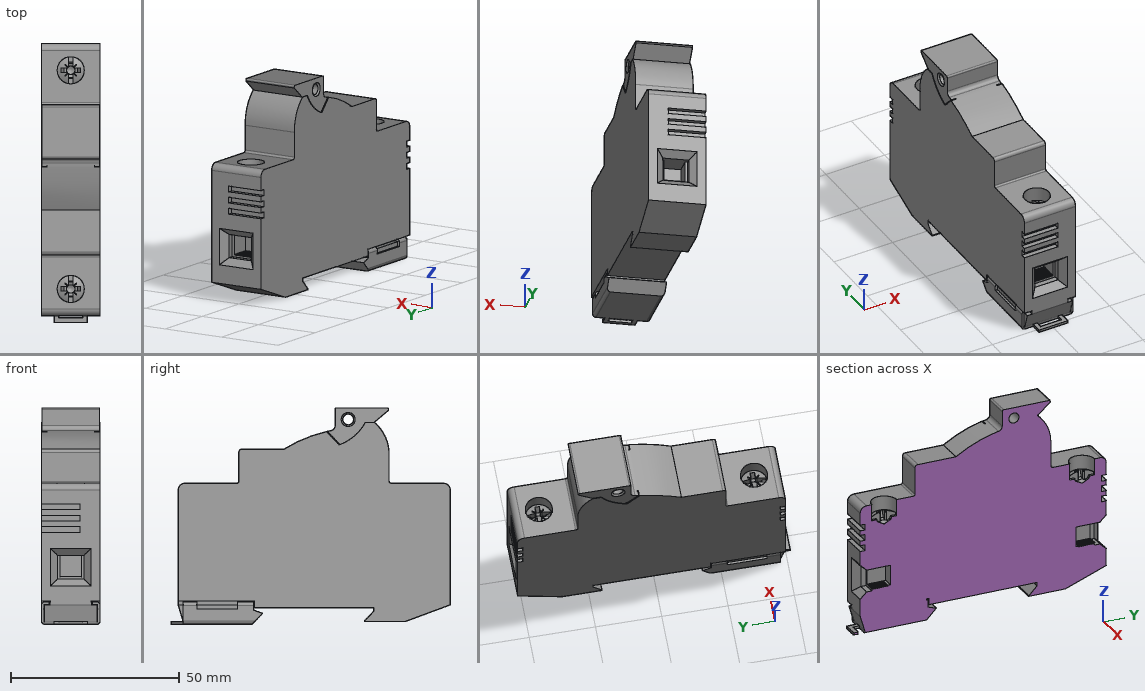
import cadquery as cq


PICK_MARGIN = 0.1

WIDTH = 17.5
HALF_WIDTH = WIDTH / 2
TOTAL_HEIGHT = 64.3
TAB_TIP_Y = -41.45
FRONT_Y = -39.4
BACK_Y = 41.45
MID_Y = (FRONT_Y + BACK_Y) / 2
SHOULDER_Z = 41.95
SHOULDER_RADIUS = 2.1
FOOT_Z = 0.8
RAIL_Z = 4.9
BACK_SLANT_TOP_Z = 5.8
BACK_SLANT_Y = 28.0
HOOK_TIP_Y = 16.0
HOOK_ROOT_Y = 18.65
HOOK_TIP_Z = 1.2
HOOK_ROOT_Z = 3.9
CLIP_SEAT_Y = -16.75
CLIP_SEAT_Z = 7.0

HUMP_BACK_Y = 23.3
HUMP_FRONT_Y = -21.4
HUMP_FLAT_Z = 52.05
HUMP_FLAT_END_Y = -7.95
HUMP_EDGE_RADIUS = 1.0
HUMP_FRONT_FOOT_RADIUS = 0.5
HUMP_BACK_FOOT_RADIUS = 0.7
BACK_CURVE_START_Z = 50.15
BACK_CURVE_MID = (22.0, 56.1)
SLOPE_MID = (-1.0, 55.5)
SLOPE_TOP_Z = 57.8

GRIP_FRONT_Y = 7.2
GRIP_BACK_Y = 23.1
GRIP_NECK_Y = 18.9
GRIP_NECK_Z = 60.0
GRIP_LIP_Z = 63.6
GRIP_INSET = 0.2
GRIP_EDGE_RADIUS = 0.5
GRIP_FOOT_RADIUS = 1.5
CHEEK_TIP = (8.45, 53.3)
CHEEK_MID = (12.8, 55.8)
CHEEK_BACK_Y = 16.25
CHEEK_FRONT = (4.7, 57.2)
CHEEK_GAP = 0.2
CHEEK_GAP_DEPTH = 1.7
SEAL_Y = 11.1
SEAL_Z = 60.8
SEAL_DIAMETER = 3.15
SEAL_CHAMFER = 0.5

GROOVE_COUNT = 3
GROOVE_BOTTOM_Z = 27.3
GROOVE_PITCH = 3.4
GROOVE_HEIGHT = 1.7
GROOVE_LENGTH = 11.4
GROOVE_DEPTH = 1.6

ENTRY_MOUTH = (12.0, 11.1)
ENTRY_THROAT = (7.9, 7.05)
ENTRY_Z = 17.0
ENTRY_BEVEL_DEPTH = 2.15
THROAT_DEPTH = 3.8
CLAMP_WIDTH = 6.4
CLAMP_HEIGHT = 6.3
CLAMP_DEPTH = 9.95
SERRATION_COUNT = 8
SERRATION_PITCH = 0.7
SERRATION_WIDTH = 0.3
SERRATION_DEPTH = 0.25

SCREW_INSET = 7.95
SCREW_DIAMETER = 8.0
SCREW_RIM_DEPTH = 4.6
DOME_HEIGHT = 1.25
DRIVE_WIDTH = 1.3
SLOT_DEPTH = 2.0
DRIVE_TOP_RADIUS = 3.2
DRIVE_STEP_RADIUS = 2.1
DRIVE_CORE_RADIUS = 1.25
DRIVE_STEP_DEPTH = 2.8
DRIVE_DEPTH = 3.2
DRIVE_POINT = 0.7
TICK_LENGTH = 4.8
TICK_WIDTH = 0.2
TICK_DEPTH = 0.7

CLIP_THICKNESS = 0.75
CLIP_BEND_RADIUS = 1.1
CLIP_CLEARANCE = 0.25
CLIP_TOP_Z = CLIP_SEAT_Z - CLIP_CLEARANCE
CLIP_FRONT_Y = -37.9
CLIP_BACK_Y = CLIP_SEAT_Y - CLIP_CLEARANCE
CLIP_HOOK_TIP = (-14.25, 3.3)
CLIP_HOOK_TOP_Z = 4.3
CLIP_HOOK_FOOT_Y = -17.5
CLIP_LIP = 2.3
FLANGE_SLOT_DEPTH = 2.65
CORE_TOP_Z = 5.8
RELIEF_FRONT_Y = -33.8
RELIEF_BACK_Y = -21.8
RELIEF_Z = 4.6
TAB_WIDTH = 9.9
TAB_THICKNESS = 0.8
WINDOW_WIDTH = 7.05
WINDOW_RIM = 1.5


def block(x_range, y_range, z_range):
    """Box spanning the given ranges."""
    size = [high - low for low, high in (x_range, y_range, z_range)]
    corner = (x_range[0], y_range[0], z_range[0])
    return cq.Workplane("XY").box(*size, centered=False).translate(corner)


def across(profile, width):
    """Extrude a closed YZ profile over a width centred on X = 0."""
    return profile.extrude(width / 2, both=True)


def from_sides(profile, depth):
    """Extrude a closed YZ profile inward by a depth from both side faces."""
    middle = cq.Workplane("XY").box(WIDTH - 2 * depth, 2 * BACK_Y, 2 * TOTAL_HEIGHT)
    return across(profile, WIDTH).cut(middle)


def round_corner(solid, y, z, radius):
    """Fillet the X-direction edges that pass through (y, z)."""
    near = cq.selectors.BoxSelector(
        (-WIDTH, y - PICK_MARGIN, z - PICK_MARGIN),
        (WIDTH, y + PICK_MARGIN, z + PICK_MARGIN),
    )
    return solid.edges(near).edges("|X").fillet(radius)


def make_housing():
    outline = (
        cq.Workplane("YZ")
        .moveTo(BACK_Y, SHOULDER_Z)
        .lineTo(HUMP_BACK_Y, SHOULDER_Z)
        .lineTo(HUMP_BACK_Y, BACK_CURVE_START_Z)
        .threePointArc(BACK_CURVE_MID, (GRIP_NECK_Y, GRIP_NECK_Z))
        .lineTo(CHEEK_BACK_Y, GRIP_NECK_Z)
        .lineTo(GRIP_FRONT_Y, SLOPE_TOP_Z)
        .threePointArc(SLOPE_MID, (HUMP_FLAT_END_Y, HUMP_FLAT_Z))
        .lineTo(HUMP_FRONT_Y, HUMP_FLAT_Z)
        .lineTo(HUMP_FRONT_Y, SHOULDER_Z)
        .lineTo(FRONT_Y, SHOULDER_Z)
        .lineTo(FRONT_Y, CLIP_SEAT_Z)
        .lineTo(CLIP_SEAT_Y, CLIP_SEAT_Z)
        .lineTo(CLIP_SEAT_Y, RAIL_Z)
        .lineTo(HOOK_ROOT_Y, RAIL_Z)
        .lineTo(HOOK_ROOT_Y, HOOK_ROOT_Z)
        .lineTo(HOOK_TIP_Y, HOOK_TIP_Z)
        .lineTo(HOOK_TIP_Y, FOOT_Z)
        .lineTo(BACK_SLANT_Y, FOOT_Z)
        .lineTo(BACK_Y, BACK_SLANT_TOP_Z)
        .close()
    )

    housing = across(outline, WIDTH)
    housing = round_corner(housing, BACK_Y, SHOULDER_Z, SHOULDER_RADIUS)
    housing = round_corner(housing, FRONT_Y, SHOULDER_Z, SHOULDER_RADIUS)
    housing = round_corner(housing, HUMP_FRONT_Y, HUMP_FLAT_Z, HUMP_EDGE_RADIUS)
    housing = round_corner(housing, HUMP_FRONT_Y, SHOULDER_Z, HUMP_FRONT_FOOT_RADIUS)
    return round_corner(housing, HUMP_BACK_Y, SHOULDER_Z, HUMP_BACK_FOOT_RADIUS)


def cheek_cuts():
    """Thin side relief over the drawer cheeks and the gap along their front edge."""
    relief = (
        cq.Workplane("YZ")
        .moveTo(*CHEEK_FRONT)
        .lineTo(*CHEEK_TIP)
        .threePointArc(CHEEK_MID, (CHEEK_BACK_Y, GRIP_NECK_Z))
        .lineTo(CHEEK_FRONT[0], GRIP_NECK_Z)
        .close()
    )
    gap = (
        cq.Workplane("YZ")
        .moveTo(*CHEEK_FRONT)
        .lineTo(*CHEEK_TIP)
        .lineTo(CHEEK_TIP[0] + CHEEK_GAP, CHEEK_TIP[1] + CHEEK_GAP)
        .lineTo(CHEEK_FRONT[0] + CHEEK_GAP, CHEEK_FRONT[1] + CHEEK_GAP)
        .close()
    )
    return from_sides(relief, GRIP_INSET).union(from_sides(gap, CHEEK_GAP_DEPTH))


def make_grip():
    outline = (
        cq.Workplane("YZ")
        .moveTo(GRIP_FRONT_Y, TOTAL_HEIGHT)
        .lineTo(GRIP_BACK_Y, TOTAL_HEIGHT)
        .lineTo(GRIP_BACK_Y, GRIP_LIP_Z)
        .lineTo(GRIP_NECK_Y, GRIP_NECK_Z)
        .lineTo(CHEEK_BACK_Y, GRIP_NECK_Z)
        .lineTo(GRIP_FRONT_Y, SLOPE_TOP_Z)
        .close()
    )
    grip = across(outline, WIDTH - 2 * GRIP_INSET)
    return grip.edges("|X and >Z").fillet(GRIP_EDGE_RADIUS)


def seal_hole():
    hole = across(cq.Workplane("YZ").center(SEAL_Y, SEAL_Z).circle(SEAL_DIAMETER / 2), WIDTH)
    for side in (-1, 1):
        cone = (
            cq.Workplane("YZ", origin=(side * (HALF_WIDTH - GRIP_INSET), SEAL_Y, SEAL_Z))
            .circle(SEAL_DIAMETER / 2 + SEAL_CHAMFER)
            .workplane(offset=-side * SEAL_CHAMFER)
            .circle(SEAL_DIAMETER / 2)
            .loft()
        )
        hole = hole.union(cone)
    return hole


def front_grooves():
    grooves = cq.Workplane("XY")
    for index in range(GROOVE_COUNT):
        bottom = GROOVE_BOTTOM_Z + index * GROOVE_PITCH
        grooves = grooves.union(block(
            (-HALF_WIDTH, GROOVE_LENGTH - HALF_WIDTH),
            (FRONT_Y, FRONT_Y + GROOVE_DEPTH),
            (bottom, bottom + GROOVE_HEIGHT),
        ))
    return grooves


def front_wire_entry():
    face = cq.Workplane("XZ", origin=(0, FRONT_Y, ENTRY_Z))
    bevel = face.rect(*ENTRY_MOUTH).workplane(offset=-ENTRY_BEVEL_DEPTH).rect(*ENTRY_THROAT).loft()
    throat = face.rect(*ENTRY_THROAT).extrude(-THROAT_DEPTH)
    throat_top = ENTRY_Z + ENTRY_THROAT[1] / 2
    clamp_x = (-CLAMP_WIDTH / 2, CLAMP_WIDTH / 2)
    clamp_front_y = FRONT_Y + THROAT_DEPTH
    floor_z = throat_top - CLAMP_HEIGHT
    clamp = block(clamp_x, (clamp_front_y, FRONT_Y + CLAMP_DEPTH), (floor_z, throat_top))
    entry = bevel.union(throat).union(clamp)

    for index in range(SERRATION_COUNT):
        back = clamp_front_y + (index + 1) * SERRATION_PITCH
        entry = entry.union(block(
            clamp_x,
            (back - SERRATION_WIDTH, back),
            (floor_z - SERRATION_DEPTH, floor_z),
        ))
    return entry


def screw_pocket():
    """Round well with a domed screw head at its bottom, centred on the Z axis."""
    radius = SCREW_DIAMETER / 2
    rim_z = SHOULDER_Z - SCREW_RIM_DEPTH
    dome_z = rim_z + DOME_HEIGHT
    slot_z = dome_z - SLOT_DEPTH
    dome_radius = (radius ** 2 + DOME_HEIGHT ** 2) / (2 * DOME_HEIGHT)

    well = cq.Workplane("XY", origin=(0, 0, rim_z)).circle(radius).extrude(SCREW_RIM_DEPTH)
    well = well.cut(cq.Workplane("XY", origin=(0, 0, dome_z - dome_radius)).sphere(dome_radius))

    slot = (
        cq.Workplane("XY", origin=(0, 0, slot_z))
        .circle(radius)
        .extrude(SHOULDER_Z - slot_z)
        .intersect(cq.Workplane("XY").box(DRIVE_WIDTH, SCREW_DIAMETER, 2 * SHOULDER_Z))
    )
    drive_z = dome_z - DRIVE_DEPTH
    step_z = dome_z - DRIVE_STEP_DEPTH
    blade = (
        cq.Workplane("XZ")
        .moveTo(-DRIVE_TOP_RADIUS, dome_z)
        .lineTo(-DRIVE_STEP_RADIUS, step_z)
        .lineTo(-DRIVE_CORE_RADIUS, drive_z)
        .lineTo(DRIVE_CORE_RADIUS, drive_z)
        .lineTo(DRIVE_STEP_RADIUS, step_z)
        .lineTo(DRIVE_TOP_RADIUS, dome_z)
        .close()
        .extrude(DRIVE_WIDTH / 2, both=True)
    )
    core = (
        cq.Workplane("XZ")
        .moveTo(0, dome_z)
        .lineTo(DRIVE_CORE_RADIUS, dome_z)
        .lineTo(DRIVE_CORE_RADIUS, drive_z)
        .lineTo(0, drive_z - DRIVE_POINT)
        .close()
        .revolve()
    )
    cross = blade.union(blade.rotate((0, 0, 0), (0, 0, 1), 90))
    tick = cq.Workplane("XY", origin=(0, 0, dome_z)).box(TICK_LENGTH, TICK_WIDTH, 2 * TICK_DEPTH)
    pocket = well.union(slot).union(cross).union(core)
    for angle in (45, 135):
        pocket = pocket.union(tick.rotate((0, 0, 0), (0, 0, 1), angle))
    return pocket


def make_core():
    """T-shaped foot of the housing that carries the rail clip."""
    web_half = HALF_WIDTH - FLANGE_SLOT_DEPTH
    core_half = HALF_WIDTH - CLIP_THICKNESS - CLIP_CLEARANCE
    web = block((-web_half, web_half), (FRONT_Y, CLIP_HOOK_FOOT_Y), (CORE_TOP_Z, CLIP_SEAT_Z))
    foot = across(
        cq.Workplane("YZ").polyline([
            (FRONT_Y, CORE_TOP_Z),
            (CLIP_FRONT_Y, CLIP_THICKNESS),
            (CLIP_HOOK_FOOT_Y, CLIP_THICKNESS),
            (CLIP_HOOK_FOOT_Y, CORE_TOP_Z),
        ]).close(),
        2 * core_half,
    )
    return web.union(foot)


def make_clip():
    blank = block((-HALF_WIDTH, HALF_WIDTH), (CLIP_FRONT_Y, CLIP_HOOK_TIP[0]), (0, CLIP_TOP_Z))
    blank = blank.edges("|Y").fillet(CLIP_BEND_RADIUS)
    inner_half = HALF_WIDTH - CLIP_THICKNESS
    lip_half = HALF_WIDTH - CLIP_LIP
    channel = (CLIP_FRONT_Y, CLIP_HOOK_FOOT_Y)
    inside = block((-inner_half, inner_half), channel, (CLIP_THICKNESS, CLIP_TOP_Z - CLIP_THICKNESS))
    opening = block((-lip_half, lip_half), channel, (CLIP_THICKNESS, CLIP_TOP_Z))
    relief = block((-HALF_WIDTH, HALF_WIDTH), (RELIEF_FRONT_Y, RELIEF_BACK_Y), (RELIEF_Z, CLIP_TOP_Z))
    side = across(
        cq.Workplane("YZ").polyline([
            (CLIP_FRONT_Y, 0),
            (CLIP_HOOK_FOOT_Y, 0),
            CLIP_HOOK_TIP,
            (CLIP_BACK_Y, CLIP_HOOK_TOP_Z),
            (CLIP_BACK_Y, CLIP_TOP_Z),
            (CLIP_FRONT_Y, CLIP_TOP_Z),
        ]).close(),
        WIDTH,
    )
    clip = blank.cut(inside).cut(opening).cut(relief).intersect(side)

    tab = block((-TAB_WIDTH / 2, TAB_WIDTH / 2), (TAB_TIP_Y, CLIP_FRONT_Y), (0, TAB_THICKNESS))
    window = block(
        (-WINDOW_WIDTH / 2, WINDOW_WIDTH / 2),
        (TAB_TIP_Y + WINDOW_RIM, CLIP_FRONT_Y),
        (0, TAB_THICKNESS),
    )
    return clip.union(tab.cut(window))


body = make_housing().cut(cheek_cuts()).union(make_grip())
body = round_corner(body, GRIP_FRONT_Y, SLOPE_TOP_Z, GRIP_FOOT_RADIUS).cut(seal_hole())

end_cuts = front_grooves().union(front_wire_entry())
body = body.cut(end_cuts).cut(end_cuts.mirror("XZ", (0, MID_Y, 0)))
for screw_y in (FRONT_Y + SCREW_INSET, BACK_Y - SCREW_INSET):
    body = body.cut(screw_pocket().translate((0, screw_y, 0)))

result = body.union(make_core()).union(make_clip())